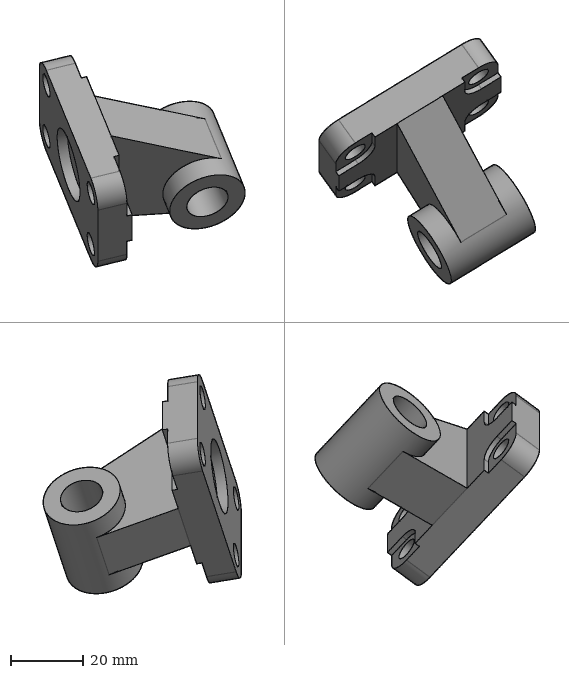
import cadquery as cq
import math

plate_width = 54.0
plate_height = 35.0
plate_thickness = 10.0
corner_radius = 6.5

hole_diameter = 6.6
hole_spacing_x = 41.0
hole_spacing_z = 22.0
seat_radius = 5.5
seat_depth = 1.5

recess_diameter = 21.0
recess_depth = 3.0

boss_diameter = 22.0
bore_diameter = 12.0
boss_width = 28.0
axis_y = 36.0
axis_z = -13.0
rib_width = 15.2


def tangent_point(start_y, start_z, side):
    """Point where a line from the start touches the boss; side picks one of the two tangents."""
    to_start_y = start_y - axis_y
    to_start_z = start_z - axis_z
    radius = boss_diameter / 2
    swing = math.acos(radius / math.hypot(to_start_y, to_start_z))
    angle = math.atan2(to_start_z, to_start_y) + side * swing
    return (axis_y + radius * math.cos(angle), axis_z + radius * math.sin(angle))


def boss_cylinder(diameter):
    return (
        cq.Workplane("YZ")
        .center(axis_y, axis_z)
        .circle(diameter / 2)
        .extrude(boss_width / 2, both=True)
    )


def make_plate():
    plate = (
        cq.Workplane("XZ")
        .rect(plate_width, plate_height)
        .extrude(-plate_thickness)
        .edges("|Y")
        .fillet(corner_radius)
    )
    recess = cq.Workplane("XZ").circle(recess_diameter / 2).extrude(-recess_depth)
    holes = (
        cq.Workplane("XZ")
        .rect(hole_spacing_x, hole_spacing_z, forConstruction=True)
        .vertices()
        .circle(hole_diameter / 2)
        .extrude(-plate_thickness)
    )
    plate = plate.cut(recess).cut(holes)
    for side_x in (-1, 1):
        for side_z in (-1, 1):
            plate = plate.cut(make_seat(side_x, side_z))
    return plate


def make_seat(side_x, side_z):
    """Shallow corner step in the back face, rounded about the bolt hole and open to both edges."""
    inner_x = side_x * (hole_spacing_x / 2 - seat_radius)
    inner_z = side_z * (hole_spacing_z / 2 - seat_radius)
    outer_x = side_x * plate_width / 2
    outer_z = side_z * plate_height / 2
    hole_x = side_x * hole_spacing_x / 2
    hole_z = side_z * hole_spacing_z / 2
    diagonal = seat_radius * math.sqrt(0.5)
    arc_middle = (hole_x - side_x * diagonal, hole_z - side_z * diagonal)
    return (
        cq.Workplane("XZ", origin=(0, plate_thickness - seat_depth, 0))
        .moveTo(outer_x, outer_z)
        .lineTo(outer_x, inner_z)
        .lineTo(hole_x, inner_z)
        .threePointArc(arc_middle, (inner_x, hole_z))
        .lineTo(inner_x, outer_z)
        .close()
        .extrude(-seat_depth)
    )


def make_rib():
    """Web from the full height of the plate's back face, tangent to the boss above and below."""
    top = (plate_thickness, plate_height / 2)
    bottom = (plate_thickness, -plate_height / 2)
    far_side = (axis_y + boss_diameter / 2, axis_z)
    return (
        cq.Workplane("YZ")
        .moveTo(*bottom)
        .lineTo(*tangent_point(*bottom, 1))
        .threePointArc(far_side, tangent_point(*top, -1))
        .lineTo(*top)
        .close()
        .extrude(rib_width / 2, both=True)
    )


body = make_plate().union(make_rib()).union(boss_cylinder(boss_diameter))
result = body.cut(boss_cylinder(bore_diameter))